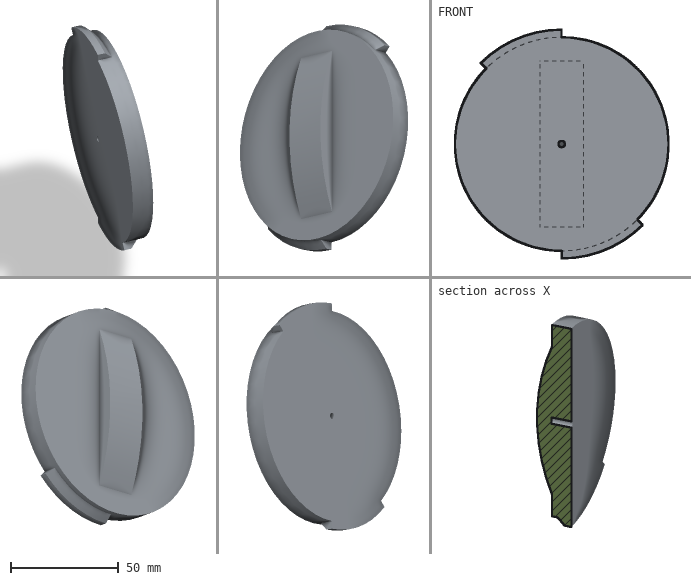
import cadquery as cq

disc_back_diameter = 99.5
disc_front_diameter = 99.4
disc_thickness = 10.0

tab_radius = 53.2
tab_rim_thickness = 3.5
tab_sweep_angle = 45.0
tab_start_angles = (0.0, 180.0)
tab_root_radius = 47.9

grip_width = 20.0
grip_length = 77.1
grip_height = 7.8

hole_diameter = 3.0
hole_depth = disc_thickness


def make_disc():
    """Cone frustum revolved about the Y axis."""
    profile = (
        cq.Workplane("XY")
        .lineTo(disc_front_diameter / 2, 0)
        .lineTo(disc_back_diameter / 2, disc_thickness)
        .lineTo(0, disc_thickness)
        .close()
    )
    return profile.revolve(360, (0, 0), (0, 1))


def make_tab(start_angle):
    """Sector swept about the Y axis from the given angle."""
    root_thickness = tab_rim_thickness + tab_radius - tab_root_radius
    section = (
        cq.Workplane("YZ")
        .moveTo(0, tab_root_radius)
        .lineTo(0, tab_radius)
        .lineTo(tab_rim_thickness, tab_radius)
        .lineTo(root_thickness, tab_root_radius)
        .close()
    )
    tab = section.revolve(tab_sweep_angle, (0, 0), (-1, 0))
    return tab.rotate((0, 0, 0), (0, 1, 0), start_angle)


def make_grip():
    """Circular-segment outline in the YZ plane, centred on X."""
    return (
        cq.Workplane("YZ")
        .moveTo(disc_thickness, -grip_length / 2)
        .threePointArc((disc_thickness + grip_height, 0), (disc_thickness, grip_length / 2))
        .close()
        .extrude(grip_width / 2, both=True)
    )


def make_hole():
    """Cylinder running from the front face toward +Y."""
    return cq.Workplane("XZ").circle(hole_diameter / 2).extrude(-hole_depth)


result = make_disc().union(make_grip())
for angle in tab_start_angles:
    result = result.union(make_tab(angle))
result = result.cut(make_hole())